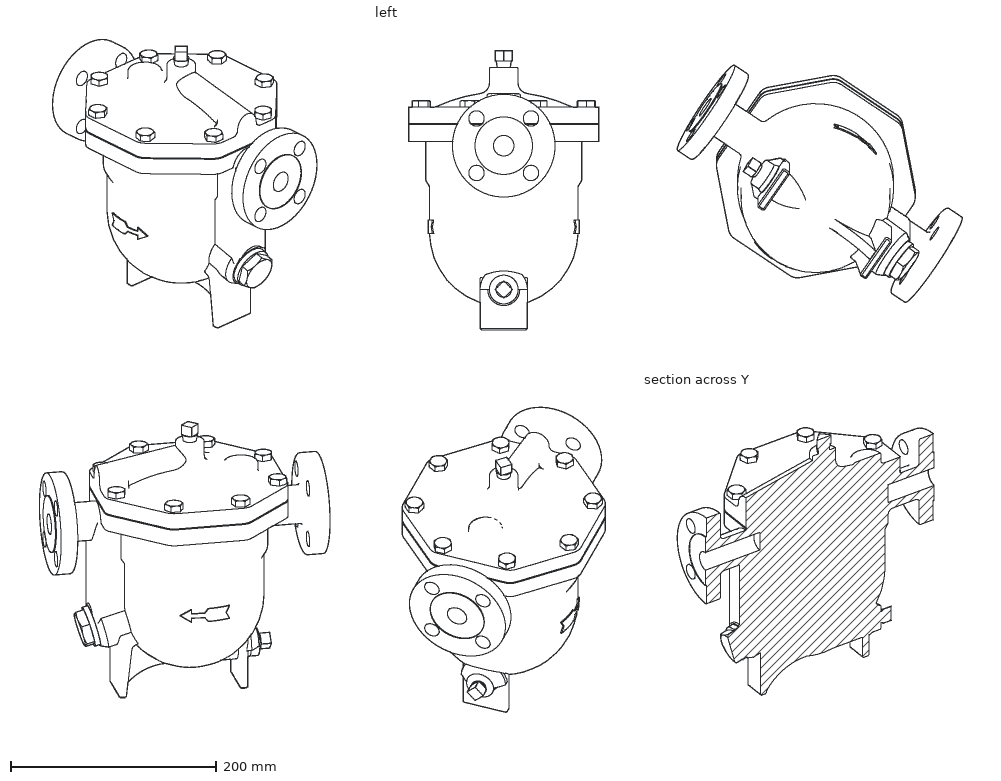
import cadquery as cq
import math


INLET_FACE_X = -130.0
OUTLET_FACE_X = 140.0
FLANGE_DIA = 100.0
FLANGE_THICKNESS = 17.0
FLANGE_EDGE_ROUND = 2.0
RAISED_FACE_DIA = 56.0
RAISED_FACE_HEIGHT = 1.0
FLANGE_BOLT_CIRCLE = 75.0
FLANGE_BOLT_HOLE_DIA = 15.0
FLANGE_BOLT_COUNT = 4
PIPE_DIA = 38.0
PIPE_FLANGE_FILLET = 4.0
PIPE_BODY_FILLET = 5.0
BORE_DIA = 20.0

BODY_R = 72.5
BODY_UPPER_R = 76.0
DOME_CENTRE_Z = -84.0
BAND_BOTTOM_Z = -34.0
BAND_TAPER_HEIGHT = 5.5
BAND_FILLET = 2.5

OCTAGON_FLATS = 185.0
OCTAGON_CORNER_R = 14.0
OCTAGON_INLET_X = -90.0
BODY_FLANGE_BOTTOM_Z = 4.0
BODY_FLANGE_TOP_Z = 20.6
GASKET_THICKNESS = 0.8
GASKET_RECESS = 0.5
COVER_BOTTOM_Z = BODY_FLANGE_TOP_Z + GASKET_THICKNESS
COVER_TOP_Z = 37.6
BOLT_CIRCLE_R = 87.0
BOLT_COUNT = 8
BOLT_HEAD_FLATS = 16.0
BOLT_HEAD_HEIGHT = 6.3
BOLT_HEAD_CHAMFER_SLOPE = 30.0

COVER_DOME_R = 67.0
COVER_DOME_RISE = 15.0
COVER_DOME_FILLET = 4.5
NECK_DIA = 28.0
NECK_TOP_Z = 76.2
NECK_BASE_FILLET = 10.2
NECK_EDGE_ROUND = 1.5
PLUG_SQUARE = 12.0
PLUG_CORNER_DIA = 16.6
PLUG_HEAD_LENGTH = 10.0
VENT_PLUG_SHANK = 6.3
DRAIN_PLUG_SHANK = 2.3
PLUG_SHANK_DIA = 15.0
PLUG_SHANK_ROOT_DIA = 13.0
COVER_PAD_X = -51.0
COVER_PAD_DIA = 33.0
COVER_PAD_TOP_Z = 50.6
COVER_PAD_ROUND = 2.5
COVER_PAD_BASE_FILLET = 3.0

COVER_PIPE_DIA = 25.0
COVER_PIPE_ANGLE = 10.4
COVER_PIPE_END_Z = 43.8
COVER_WEB_FILLET = 6.0
COVER_WEB_FILLET_START_X = 64.0

DUCT_WIDTH = 42.0
DUCT_ARC_Z = -5.0
DUCT_END_X = 100.0
DUCT_EDGE_ROUND = 6.0
STRAINER_ANGLE = 15.0
STRAINER_HEX_X = 105.3
STRAINER_HEX_Z = -112.0
STRAINER_HEX_FLATS = 33.0
STRAINER_HEX_HEIGHT = 9.2
STRAINER_WASHER_DIA = 40.0
STRAINER_BOSS_R = 25.0
STRAINER_BOSS_END_R = 21.5
STRAINER_BOSS_LENGTH = 70.0
STRAINER_BOSS_TAPER_LENGTH = 6.7
STRAINER_BOSS_END = -9.8

DRAIN_Z = -140.0
DRAIN_FACE_X = -67.3
DRAIN_COLLAR_DIA = 28.0
DRAIN_COLLAR_LENGTH = 9.0
DRAIN_TUBE_R = 15.6
DRAIN_FLARE_LENGTH = 4.5
DRAIN_TUBE_END_X = 0.0
DRAIN_HOOD_R = 23.0

FOOT_BOTTOM_Z = -179.5
FOOT_WIDTH = 46.0
FOOT_ROUND = 2.0
OUTLET_FOOT_SHOULDER_R = 5.0
FOOT_TIP_CHAMFER = 1.5
INLET_FOOT_X = -53.3
INLET_FOOT_THICKNESS = 8.0
INLET_FOOT_TOP_Z = -127.5
OUTLET_FOOT_X = 75.0
OUTLET_FOOT_TIP = 7.2
OUTLET_FOOT_ROOT = 13.0
OUTLET_FOOT_SHOULDER_Z = -127.0
OUTLET_FOOT_INNER_X = 50.0
OUTLET_FOOT_INNER_Z = -121.0
OUTLET_FOOT_TOP_Z = -107.0
RIB_THICKNESS = 10.0
RIB_START_X = 24.0
RIB_START_Z = -153.6
RIB_ARC_R = 53.0

ARROW_HEIGHT = 1.2
ARROW_CENTRE_Z = -79.0
ARROW_TAIL_X = -24.7
ARROW_NOTCH_X = -21.0
ARROW_TAIL_END_X = -2.5
ARROW_SHAFT_X = 1.0
ARROW_HEAD_X = 13.8
ARROW_TIP_X = 24.7
ARROW_HALF_WIDTH = 6.7
ARROW_SHAFT_HALF_WIDTH = 2.3


def x_cylinder(diameter, x_start, x_end, z=0.0):
    """Cylinder along X at the given height."""
    return cq.Workplane("YZ", origin=(x_start, 0, z)).circle(diameter / 2).extrude(x_end - x_start)


def make_body():
    """Domed body with its wider upper band, as one revolved solid."""
    taper_end_z = BAND_BOTTOM_Z - BAND_TAPER_HEIGHT
    diagonal = BODY_R * math.sqrt(0.5)
    profile = (
        cq.Workplane("XZ")
        .moveTo(0, COVER_BOTTOM_Z)
        .lineTo(BODY_UPPER_R, COVER_BOTTOM_Z)
        .lineTo(BODY_UPPER_R, BAND_BOTTOM_Z)
        .lineTo(BODY_R, taper_end_z)
        .lineTo(BODY_R, DOME_CENTRE_Z)
        .threePointArc((diagonal, DOME_CENTRE_Z - diagonal), (0, DOME_CENTRE_Z - BODY_R))
        .close()
    )
    body = profile.revolve(360, (0, 0, 0), (0, 1, 0))
    margin = 0.5
    band_zone = cq.selectors.BoxSelector(
        (-BODY_UPPER_R - margin, -BODY_UPPER_R - margin, taper_end_z - margin),
        (BODY_UPPER_R + margin, BODY_UPPER_R + margin, BAND_BOTTOM_Z + margin),
        boundingbox=True,
    )
    return body.edges(band_zone).edges("%CIRCLE").fillet(BAND_FILLET)


def add_inlet_pipe(body):
    """Join the inlet pipe to the body with a fillet around it."""
    pipe = x_cylinder(PIPE_DIA, INLET_FACE_X + FLANGE_THICKNESS, 0)
    joined = body.union(pipe)
    reach = PIPE_DIA / 2 + 0.5
    junction = cq.selectors.BoxSelector(
        (-BODY_UPPER_R - 1, -reach, -reach), (0, reach, reach), boundingbox=True
    )
    return joined.edges(junction).fillet(PIPE_BODY_FILLET)


def make_flange(face_x, direction):
    """Pipe flange with raised face; direction is the sign of X pointing out of the part."""
    rim_x = face_x - direction * RAISED_FACE_HEIGHT
    back_x = rim_x - direction * FLANGE_THICKNESS
    rim_r = FLANGE_DIA / 2
    root_r = PIPE_DIA / 2
    fillet_end_x = back_x - direction * PIPE_FLANGE_FILLET
    fillet_reach = PIPE_FLANGE_FILLET * (1 - math.sqrt(0.5))
    edge_reach = FLANGE_EDGE_ROUND * (1 - math.sqrt(0.5))
    profile = (
        cq.Workplane("XZ")
        .moveTo(face_x, 0)
        .lineTo(face_x, RAISED_FACE_DIA / 2)
        .lineTo(rim_x, RAISED_FACE_DIA / 2)
        .lineTo(rim_x, rim_r)
        .lineTo(back_x + direction * FLANGE_EDGE_ROUND, rim_r)
        .threePointArc(
            (back_x + direction * edge_reach, rim_r - edge_reach),
            (back_x, rim_r - FLANGE_EDGE_ROUND),
        )
        .lineTo(back_x, root_r + PIPE_FLANGE_FILLET)
        .threePointArc(
            (back_x - direction * fillet_reach, root_r + fillet_reach),
            (fillet_end_x, root_r),
        )
        .lineTo(fillet_end_x, 0)
        .close()
    )
    flange = profile.revolve(360, (0, 0, 0), (1, 0, 0))
    holes = (
        cq.Workplane("YZ", origin=(face_x, 0, 0))
        .polarArray(FLANGE_BOLT_CIRCLE / 2, 180 / FLANGE_BOLT_COUNT, 360, FLANGE_BOLT_COUNT)
        .circle(FLANGE_BOLT_HOLE_DIA / 2)
        .extrude(-direction * (RAISED_FACE_HEIGHT + FLANGE_THICKNESS))
    )
    return flange.cut(holes)


def make_octagon(bottom_z, top_z, inset=0.0):
    """Round-cornered octagonal plate, trimmed flat on the inlet side."""
    half = OCTAGON_FLATS / 2 - inset
    half_side = half * math.tan(math.pi / 8)
    trim_x = OCTAGON_INLET_X + inset
    trim_y = half_side + half + trim_x
    points = [
        (half, -half_side),
        (half, half_side),
        (half_side, half),
        (-half_side, half),
        (trim_x, trim_y),
        (trim_x, -trim_y),
        (-half_side, -half),
        (half_side, -half),
    ]
    plate = cq.Workplane("XY", origin=(0, 0, bottom_z)).polyline(points).close().extrude(top_z - bottom_z)
    return plate.edges("|Z").fillet(OCTAGON_CORNER_R)


def make_hex_head(flats, height):
    """Hexagon standing on the XY plane, a corner on +X, with its top corners turned down."""
    corner_dia = flats / math.cos(math.pi / 6)
    slope = math.tan(math.radians(BOLT_HEAD_CHAMFER_SLOPE))
    corner_drop = (corner_dia - flats) / 2 * slope
    head = cq.Workplane("XY").polygon(6, corner_dia).extrude(height)
    turned = (
        cq.Workplane("XZ")
        .lineTo(corner_dia / 2, 0)
        .lineTo(corner_dia / 2, height - corner_drop)
        .lineTo(flats / 2, height)
        .lineTo(0, height)
        .close()
        .revolve(360, (0, 0, 0), (0, 1, 0))
    )
    return head.intersect(turned)


def add_cover_bolts(part):
    """Ring of hexagon bolt heads on the cover plate."""
    head = make_hex_head(BOLT_HEAD_FLATS, BOLT_HEAD_HEIGHT)
    pitch = 360 / BOLT_COUNT
    first_angle = 90 - pitch / 2
    first_rad = math.radians(first_angle)
    place = (BOLT_CIRCLE_R * math.cos(first_rad), BOLT_CIRCLE_R * math.sin(first_rad), COVER_TOP_Z)
    first_head = head.translate(place)
    for index in range(BOLT_COUNT):
        part = part.union(first_head.rotate((0, 0, 0), (0, 0, 1), index * pitch))
    return part


def make_plug(shank_length):
    """Square-headed plug standing on the XY plane."""
    shank = (
        cq.Workplane("XY")
        .circle(PLUG_SHANK_ROOT_DIA / 2)
        .workplane(offset=shank_length)
        .circle(PLUG_SHANK_DIA / 2)
        .loft()
    )
    head = (
        cq.Workplane("XY", origin=(0, 0, shank_length))
        .rect(PLUG_SQUARE, PLUG_SQUARE)
        .extrude(PLUG_HEAD_LENGTH)
        .rotate((0, 0, 0), (0, 0, 1), 45)
    )
    corner_limit = (
        cq.Workplane("XY", origin=(0, 0, shank_length))
        .circle(PLUG_CORNER_DIA / 2)
        .extrude(PLUG_HEAD_LENGTH)
    )
    return shank.union(head.intersect(corner_limit))


def make_cover():
    """Cover plate with its shallow dome and the round pad beside the neck."""
    plate = make_octagon(COVER_BOTTOM_Z, COVER_TOP_Z)
    sphere_r = (COVER_DOME_R**2 + COVER_DOME_RISE**2) / (2 * COVER_DOME_RISE)
    apex_z = COVER_TOP_Z + COVER_DOME_RISE
    mid_angle = math.asin(COVER_DOME_R / sphere_r) / 2
    mid_point = (
        sphere_r * math.sin(mid_angle),
        apex_z - sphere_r * (1 - math.cos(mid_angle)),
    )
    dome = (
        cq.Workplane("XZ")
        .moveTo(0, COVER_BOTTOM_Z)
        .lineTo(COVER_DOME_R, COVER_BOTTOM_Z)
        .lineTo(COVER_DOME_R, COVER_TOP_Z)
        .threePointArc(mid_point, (0, apex_z))
        .close()
        .revolve(360, (0, 0, 0), (0, 1, 0))
    )
    cover = plate.union(dome)
    reach = COVER_DOME_R + 1
    dome_foot = cq.selectors.BoxSelector(
        (-reach, -reach, COVER_TOP_Z - 0.5), (reach, reach, COVER_TOP_Z + 0.5), boundingbox=True
    )
    cover = cover.edges(dome_foot).fillet(COVER_DOME_FILLET)
    pad = (
        cq.Workplane("XY", origin=(COVER_PAD_X, 0, COVER_BOTTOM_Z))
        .circle(COVER_PAD_DIA / 2)
        .extrude(COVER_PAD_TOP_Z - COVER_BOTTOM_Z)
        .faces(">Z")
        .edges()
        .fillet(COVER_PAD_ROUND)
    )
    padded = cover.union(pad)
    pad_reach = COVER_PAD_DIA / 2 + 0.5
    pad_root = cq.selectors.BoxSelector(
        (COVER_PAD_X - pad_reach, -pad_reach, COVER_TOP_Z - 0.5),
        (COVER_PAD_X + pad_reach, pad_reach, COVER_PAD_TOP_Z - COVER_PAD_ROUND - 0.5),
        boundingbox=True,
    )
    pad_edges = padded.edges(pad_root).edges("not |Z")
    return pad_edges.fillet(COVER_PAD_BASE_FILLET)


def add_neck(cover):
    """Add the central neck, blended into the dome, with a square-headed plug on top."""
    neck_r = NECK_DIA / 2
    neck = (
        cq.Workplane("XY", origin=(0, 0, COVER_BOTTOM_Z))
        .circle(neck_r)
        .extrude(NECK_TOP_Z - COVER_BOTTOM_Z)
        .faces(">Z")
        .edges()
        .fillet(NECK_EDGE_ROUND)
    )
    reach = neck_r + 0.5
    neck_root = cq.selectors.BoxSelector(
        (-reach, -reach, COVER_TOP_Z), (reach, reach, COVER_TOP_Z + COVER_DOME_RISE), boundingbox=True
    )
    cover = cover.union(neck).edges(neck_root).fillet(NECK_BASE_FILLET)
    return cover.union(make_plug(VENT_PLUG_SHANK).translate((0, 0, NECK_TOP_Z)))


def make_cover_pipe():
    """Inclined pipe from the neck to the outlet edge, with a web under it filleted to the plate."""
    end_x = OCTAGON_FLATS / 2
    axis_rise = end_x * math.tan(math.radians(COVER_PIPE_ANGLE))
    axis_length = math.hypot(end_x, axis_rise) + COVER_PIPE_DIA
    pipe = (
        x_cylinder(COVER_PIPE_DIA, -axis_length, COVER_PIPE_DIA)
        .rotate((0, 0, 0), (0, 1, 0), COVER_PIPE_ANGLE)
        .translate((end_x, 0, COVER_PIPE_END_Z))
    )
    keep_height = NECK_TOP_Z - COVER_BOTTOM_Z
    keep = (
        cq.Workplane("XY")
        .box(end_x, COVER_PIPE_DIA, keep_height, centered=(False, True, False))
        .translate((0, 0, COVER_BOTTOM_Z))
    )
    web = (
        cq.Workplane("XZ", origin=(0, COVER_PIPE_DIA / 2, 0))
        .moveTo(0, COVER_BOTTOM_Z)
        .lineTo(end_x, COVER_BOTTOM_Z)
        .lineTo(end_x, COVER_PIPE_END_Z)
        .lineTo(0, COVER_PIPE_END_Z + axis_rise)
        .close()
        .extrude(COVER_PIPE_DIA)
    )
    half = COVER_PIPE_DIA / 2
    foot_half = half + COVER_WEB_FILLET
    fillet_top_z = COVER_TOP_Z + COVER_WEB_FILLET
    arc_reach = COVER_WEB_FILLET * (1 - math.sqrt(0.5))
    web_foot = (
        cq.Workplane("YZ", origin=(COVER_WEB_FILLET_START_X, 0, 0))
        .moveTo(-foot_half, COVER_TOP_Z)
        .threePointArc((-half - arc_reach, COVER_TOP_Z + arc_reach), (-half, fillet_top_z))
        .lineTo(half, fillet_top_z)
        .threePointArc((half + arc_reach, COVER_TOP_Z + arc_reach), (foot_half, COVER_TOP_Z))
        .close()
        .extrude(end_x - COVER_WEB_FILLET_START_X)
    )
    return pipe.intersect(keep).union(web).union(web_foot)


def place_on_strainer_axis(shape):
    """Move a shape built along +Z onto the inclined strainer axis, its origin at the hexagon centre."""
    tilted = shape.rotate((0, 0, 0), (0, 1, 0), 90 + STRAINER_ANGLE)
    return tilted.translate((STRAINER_HEX_X, 0, STRAINER_HEX_Z))


def make_duct():
    """Round-topped vertical duct from the outlet down to the strainer boss."""
    half = DUCT_WIDTH / 2
    duct = (
        cq.Workplane("YZ")
        .moveTo(-half, STRAINER_HEX_Z)
        .lineTo(half, STRAINER_HEX_Z)
        .lineTo(half, DUCT_ARC_Z)
        .threePointArc((0, DUCT_ARC_Z + half), (-half, DUCT_ARC_Z))
        .close()
        .extrude(DUCT_END_X)
    )
    duct = duct.faces(">X").edges("not <Z").fillet(DUCT_EDGE_ROUND)
    clip_size = 2 * DUCT_END_X
    beyond_boss = cq.Workplane("XY", origin=(0, 0, STRAINER_BOSS_END)).rect(clip_size, clip_size).extrude(clip_size)
    below_axis = (
        cq.Workplane("XY")
        .box(clip_size, clip_size, clip_size)
        .translate((clip_size / 2, 0, 0))
    )
    duct = duct.cut(place_on_strainer_axis(beyond_boss))
    return duct.cut(place_on_strainer_axis(below_axis))


def make_strainer():
    """Angled strainer boss closed by a washer and a hexagon plug."""
    taper_start = STRAINER_BOSS_END - STRAINER_BOSS_TAPER_LENGTH
    half_hex = STRAINER_HEX_HEIGHT / 2
    boss_start = STRAINER_BOSS_END - STRAINER_BOSS_LENGTH
    washer_r = STRAINER_WASHER_DIA / 2
    boss = (
        cq.Workplane("XZ")
        .moveTo(0, boss_start)
        .lineTo(STRAINER_BOSS_R, boss_start)
        .lineTo(STRAINER_BOSS_R, taper_start)
        .lineTo(STRAINER_BOSS_END_R, STRAINER_BOSS_END)
        .lineTo(washer_r, STRAINER_BOSS_END)
        .lineTo(washer_r, -half_hex)
        .lineTo(0, -half_hex)
        .close()
        .revolve(360, (0, 0, 0), (0, 1, 0))
    )
    plug = make_hex_head(STRAINER_HEX_FLATS, STRAINER_HEX_HEIGHT).translate((0, 0, -half_hex))
    return place_on_strainer_axis(boss.union(plug))


def make_drain():
    """Horizontal drain tube under the dome, with collar, hood and plug."""
    collar_end_x = DRAIN_FACE_X + DRAIN_COLLAR_LENGTH
    flare_end_x = collar_end_x + DRAIN_FLARE_LENGTH
    collar_r = DRAIN_COLLAR_DIA / 2
    tube = (
        cq.Workplane("XY")
        .moveTo(DRAIN_FACE_X, 0)
        .lineTo(DRAIN_FACE_X, collar_r)
        .lineTo(collar_end_x, collar_r)
        .lineTo(flare_end_x, DRAIN_TUBE_R)
        .lineTo(DRAIN_TUBE_END_X, DRAIN_TUBE_R)
        .lineTo(DRAIN_TUBE_END_X, 0)
        .close()
        .revolve(360, (0, 0, 0), (1, 0, 0))
        .faces("<X")
        .edges()
        .fillet(NECK_EDGE_ROUND)
    )
    hood_start_x = DRAIN_FACE_X + NECK_EDGE_ROUND
    hood_length = DRAIN_HOOD_R - collar_r
    hood = (
        cq.Workplane("XY")
        .moveTo(hood_start_x, 0)
        .lineTo(hood_start_x, collar_r)
        .lineTo(hood_start_x + hood_length, DRAIN_HOOD_R)
        .lineTo(hood_start_x + 2 * hood_length, DRAIN_HOOD_R)
        .lineTo(hood_start_x + 2 * hood_length, 0)
        .close()
        .revolve(180, (0, 0, 0), (1, 0, 0))
    )
    plug = make_plug(DRAIN_PLUG_SHANK).rotate((0, 0, 0), (0, 1, 0), -90).translate((DRAIN_FACE_X, 0, 0))
    return tube.union(hood).union(plug).translate((0, 0, DRAIN_Z))


def make_inlet_foot():
    """Flat rectangular foot under the drain boss."""
    foot = (
        cq.Workplane("XY", origin=(INLET_FOOT_X, 0, FOOT_BOTTOM_Z))
        .box(
            INLET_FOOT_THICKNESS,
            FOOT_WIDTH,
            INLET_FOOT_TOP_Z - FOOT_BOTTOM_Z,
            centered=(False, True, False),
        )
    )
    return foot.edges("|Z").fillet(FOOT_ROUND).faces("<Z").edges().chamfer(FOOT_TIP_CHAMFER)


def make_outlet_foot():
    """Tapered foot under the strainer boss, braced by a curved rib below the dome."""
    tip_x = OUTLET_FOOT_X - OUTLET_FOOT_TIP
    root_x = OUTLET_FOOT_X - OUTLET_FOOT_ROOT
    leg = (
        cq.Workplane("XZ", origin=(0, FOOT_WIDTH / 2, 0))
        .moveTo(OUTLET_FOOT_X, FOOT_BOTTOM_Z)
        .lineTo(tip_x, FOOT_BOTTOM_Z)
        .lineTo(root_x, OUTLET_FOOT_SHOULDER_Z)
        .lineTo(OUTLET_FOOT_INNER_X, OUTLET_FOOT_INNER_Z)
        .lineTo(OUTLET_FOOT_INNER_X, OUTLET_FOOT_TOP_Z)
        .lineTo(OUTLET_FOOT_X, OUTLET_FOOT_TOP_Z)
        .close()
        .extrude(FOOT_WIDTH)
    )
    shoulder = cq.selectors.NearestToPointSelector((root_x, 0, OUTLET_FOOT_SHOULDER_Z))
    leg = leg.edges("|Y").edges(shoulder).fillet(OUTLET_FOOT_SHOULDER_R)
    leg = leg.faces(">X").edges("|Z").fillet(FOOT_ROUND)
    slope_middle_x = (tip_x + root_x) / 2
    slope_middle_z = (FOOT_BOTTOM_Z + OUTLET_FOOT_SHOULDER_Z) / 2
    for side_y in (-FOOT_WIDTH / 2, FOOT_WIDTH / 2):
        slope_edge = cq.selectors.NearestToPointSelector((slope_middle_x, side_y, slope_middle_z))
        leg = leg.edges(slope_edge).fillet(FOOT_ROUND)
    leg = leg.faces("<Z").edges().chamfer(FOOT_TIP_CHAMFER)
    arc_centre_z = RIB_START_Z - RIB_ARC_R
    end_angle = math.asin((tip_x - RIB_START_X) / RIB_ARC_R)

    def arc_point(angle):
        return (RIB_START_X + RIB_ARC_R * math.sin(angle), arc_centre_z + RIB_ARC_R * math.cos(angle))

    rib = (
        cq.Workplane("XZ", origin=(0, RIB_THICKNESS / 2, 0))
        .moveTo(0, RIB_START_Z)
        .lineTo(RIB_START_X, RIB_START_Z)
        .threePointArc(arc_point(end_angle / 2), arc_point(end_angle))
        .lineTo(root_x, OUTLET_FOOT_TOP_Z)
        .lineTo(0, OUTLET_FOOT_TOP_Z)
        .close()
        .extrude(RIB_THICKNESS)
    )
    return leg.union(rib)


def make_arrows():
    """Raised flow arrows on both sides of the body, pointing to the outlet."""
    upper = [
        (ARROW_TAIL_X, ARROW_HALF_WIDTH),
        (ARROW_TAIL_END_X, ARROW_HALF_WIDTH),
        (ARROW_SHAFT_X, ARROW_SHAFT_HALF_WIDTH),
        (ARROW_HEAD_X, ARROW_SHAFT_HALF_WIDTH),
        (ARROW_HEAD_X, ARROW_HALF_WIDTH),
    ]
    lower = [(x, -z) for x, z in reversed(upper)]
    outline = [(ARROW_NOTCH_X, 0)] + upper + [(ARROW_TIP_X, 0)] + lower
    prism = (
        cq.Workplane("XZ", origin=(0, 0, ARROW_CENTRE_Z))
        .polyline(outline)
        .close()
        .extrude(2 * BODY_R, both=True)
    )
    shell = (
        cq.Workplane("XY", origin=(0, 0, ARROW_CENTRE_Z - 2 * ARROW_HALF_WIDTH))
        .circle(BODY_R + ARROW_HEIGHT)
        .circle(BODY_R - ARROW_HEIGHT)
        .extrude(4 * ARROW_HALF_WIDTH)
    )
    return prism.intersect(shell)


part = add_inlet_pipe(make_body())
part = part.union(make_octagon(BODY_FLANGE_BOTTOM_Z, BODY_FLANGE_TOP_Z))
part = part.union(make_octagon(BODY_FLANGE_TOP_Z, COVER_BOTTOM_Z, GASKET_RECESS))
part = part.union(add_neck(make_cover()).union(make_cover_pipe()))
part = part.union(make_duct()).union(make_strainer())
part = part.union(make_drain()).union(make_inlet_foot()).union(make_outlet_foot())
part = part.union(x_cylinder(PIPE_DIA, 0, OUTLET_FACE_X - FLANGE_THICKNESS))
part = part.union(make_flange(INLET_FACE_X, -1)).union(make_flange(OUTLET_FACE_X, 1))
part = part.union(make_arrows())
part = add_cover_bolts(part)
part = part.cut(x_cylinder(BORE_DIA, INLET_FACE_X, -BODY_UPPER_R))
part = part.cut(x_cylinder(BORE_DIA, BODY_UPPER_R, OUTLET_FACE_X))

result = part